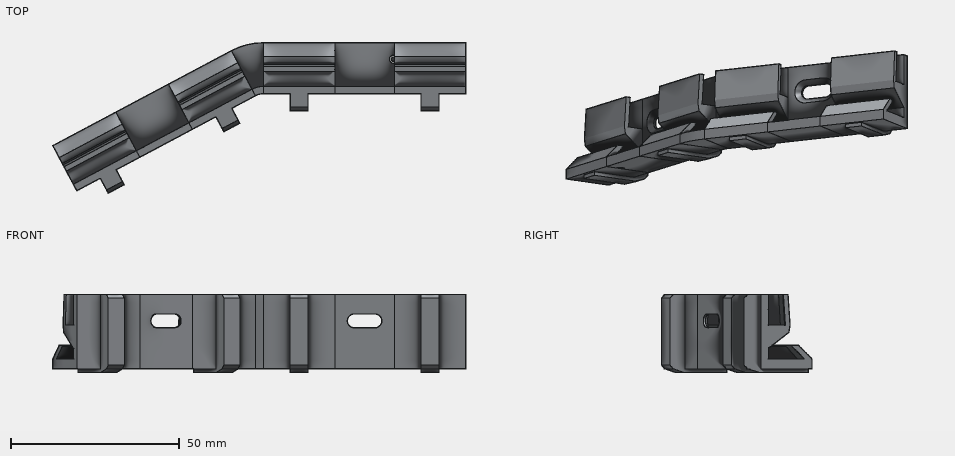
import cadquery as cq
import math

overall_length = 122.3
bend_angle = 28.0
bend_inner_radius = 5.0
depth = 15.2
bend_outer_radius = bend_inner_radius + depth
bend_cos = math.cos(math.radians(bend_angle))
bend_sin = math.sin(math.radians(bend_angle))
leg_length = (overall_length - bend_outer_radius * bend_sin) / (1 + bend_cos)
clip_length = 21.2
plate_length = leg_length - 2 * clip_length

height = 22.0
wall_thickness = 2.2
base_thickness = 2.9

lip_height = 7.0
lip_tip_depth = 9.2
lip_outer_run = lip_height - base_thickness
lip_root_thickness = 2.3
lip_root_depth = depth - lip_root_thickness
lip_nose_height = base_thickness + lip_root_depth - lip_tip_depth

channel_floor = 13.0
bracket_root_height = 6.0
bracket_edge_depth = 8.3
bracket_edge_height = 10.8
arm_top_depth = 8.1
arm_lean = 0.6
arm_thickness = 1.5

rib_width = 5.4
rib_reach = 5.0
rib_chamfer = 1.1
foot_drop = 1.1
foot_slope_start = 0.4
foot_back_inset = 1.1

slot_length = 10.2
slot_width = 4.0
slot_height = 14.2
slot_flare = 1.5
slot_flare_angle = 45

ring_outer_radius = 1.16
ring_inner_radius = 0.67
ring_end_offset = 0.2
ring_depth = 10.3


def extruded_section(points, length):
    """Extrude a (depth, height) outline along X, with the wall's outer face at the bend radius."""
    placed = [(bend_inner_radius + d, z) for d, z in points]
    return cq.Workplane("YZ").polyline(placed).close().extrude(length)


def angle_outline():
    """Outline of the plain wall and base."""
    return [
        (0, 0),
        (depth, 0),
        (depth, base_thickness),
        (wall_thickness, base_thickness),
        (wall_thickness, height),
        (0, height),
    ]


def make_clip():
    """Wall, base with lip, upper arm, and rib in one solid, starting at x = 0."""
    body = extruded_section(
        [
            (0, 0),
            (depth, 0),
            (depth, base_thickness),
            (depth - lip_outer_run, lip_height),
            (lip_tip_depth, lip_height),
            (lip_tip_depth, lip_nose_height),
            (lip_root_depth, base_thickness),
            (wall_thickness, base_thickness),
            (wall_thickness, bracket_root_height),
            (bracket_edge_depth, bracket_edge_height),
            (arm_top_depth + arm_lean, channel_floor),
            (arm_top_depth, height),
            (arm_top_depth - arm_thickness, height),
            (arm_top_depth + arm_lean - arm_thickness, channel_floor),
            (wall_thickness, channel_floor),
            (wall_thickness, height),
            (0, height),
        ],
        clip_length,
    )
    rib = extruded_section(
        [
            (wall_thickness, height),
            (rib_chamfer - rib_reach, height),
            (-rib_reach, height - rib_chamfer),
            (-rib_reach, rib_chamfer),
            (rib_chamfer - rib_reach, 0),
            (-foot_slope_start, -foot_drop),
            (depth - foot_back_inset, -foot_drop),
            (depth - foot_back_inset, base_thickness),
            (wall_thickness, base_thickness),
        ],
        rib_width,
    )
    return body.union(rib.translate(((clip_length - rib_width) / 2, 0, 0)))


def make_plate():
    """Wall and base with a flared screw slot, starting at x = 0."""
    slot_centre = (plate_length / 2, slot_height)
    inner_face = bend_inner_radius + wall_thickness
    through = (
        cq.Workplane("XZ", origin=(0, inner_face, 0))
        .center(*slot_centre)
        .slot2D(slot_length, slot_width)
        .extrude(wall_thickness)
    )
    flare = (
        cq.Workplane("XZ", origin=(0, inner_face, 0))
        .center(*slot_centre)
        .slot2D(slot_length + 2 * slot_flare, slot_width + 2 * slot_flare)
        .extrude(slot_flare, taper=slot_flare_angle)
    )
    return extruded_section(angle_outline(), plate_length).cut(through).cut(flare)


def make_bend():
    """Wall and base swept around the Z axis between the two legs."""
    outline = [(bend_inner_radius + d, z) for d, z in angle_outline()]
    return (
        cq.Workplane("YZ")
        .polyline(outline)
        .close()
        .revolve(bend_angle, (0, 0, 0), (0, 1, 0))
    )


def on_straight_leg(body, start):
    return body.translate((start, 0, 0))


def on_angled_leg(body, start):
    """Mirror onto the -X side, then swing around the bend axis."""
    return body.translate((start, 0, 0)).mirror("YZ").rotate((0, 0, 0), (0, 0, 1), bend_angle)


def ring_disc(radius):
    """Disc through the base of the straight plate, at the ring's centre."""
    return (
        cq.Workplane("XY")
        .center(plate_length - ring_end_offset, bend_inner_radius + ring_depth)
        .circle(radius)
        .extrude(base_thickness)
    )


clip = make_clip()
plate = make_plate()
bend = make_bend()

clips = []
for clip_start in (0, clip_length + plate_length):
    clips.append(on_straight_leg(clip, clip_start))
    clips.append(on_angled_leg(clip, clip_start))

ring_cut = ring_disc(ring_outer_radius)
ring_core = ring_disc(ring_inner_radius).intersect(plate)
straight_plate = on_straight_leg(plate.cut(ring_cut), clip_length)
angled_plate = on_angled_leg(plate, clip_length)
core = on_straight_leg(ring_core, clip_length)

result = cq.Compound.makeCompound(
    [
        *[placed_clip.val() for placed_clip in clips],
        straight_plate.val(),
        angled_plate.val(),
        bend.val(),
        core.val(),
    ]
)